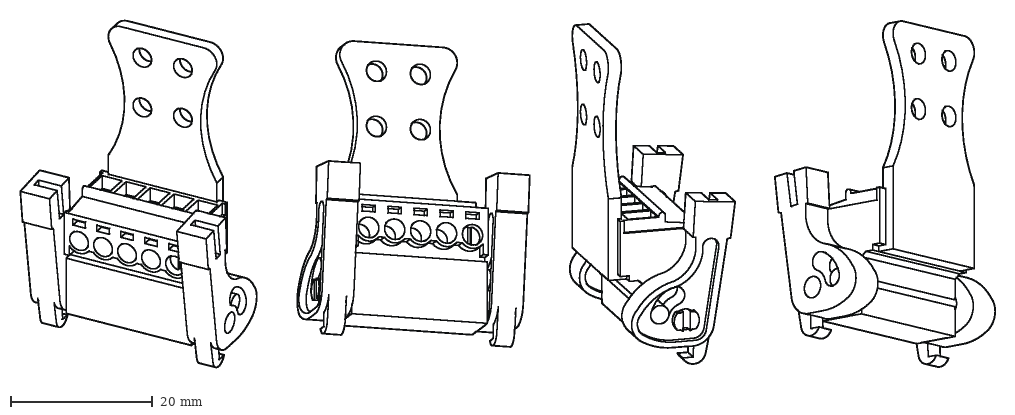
import cadquery as cq
import math


TOTAL_WIDTH = 29.6
TOTAL_DEPTH = 16.8
TOTAL_HEIGHT = 44.95

LEVER_THICKNESS = 4.67
LEVER_LEFT_FACES = (-TOTAL_WIDTH / 2, TOTAL_WIDTH / 2 - LEVER_THICKNESS)
LEVER_POCKET_DEPTH = 1.1
LEVER_POCKET_BASE_Z = 3.78
LEVER_BASE_Z = 2.95
LEVER_STEP_Z = 18.35
LEVER_STEP_DROP = 0.1
LEVER_STEM_REAR_Y = -10.95
LEVER_STEM_TOP_Z = 18.9
HOOK_WIDTH = 2.6
HOOK_TIP_Y = -11.0
HOOK_TIP_RADIUS = 1.8
HOOK_FRONT_Z = 1.45
HOOK_CATCH_Z = 1.05
HOOK_ROOT_Z = 5.65
HEAD_SLOT_WALL = 1.05
HEAD_SLOT_TOP_Z = 24.72

PIVOT_Y = -9.7
PIVOT_Z = 6.65
PIN_SHAFT_RADIUS = 1.55
PIN_HEAD_RADIUS = 1.85
PIN_HEAD_HEIGHT = 2.5
PIN_HEAD_LENGTH = 0.9
PIN_SLOT_WIDTH = 1.05
PIN_SLOT_DEPTH = 1.8
GUIDE_RADIUS = 3.8
GUIDE_HALF_WIDTH = 1.35
GUIDE_START_ANGLE = 15.0
GUIDE_END_ANGLE = 69.0

HOUSING_WIDTH = 19.95
CORE_WIDTH = 19.05
HOUSING_TOP_Z = 20.68
SIDE_STEP_Z = 18.9
OVERHANG_Z = 11.78
HOUSING_BOTTOM_Z = 2.88
HOUSING_REAR_Y = -1.35
LOWER_REAR_Y = -4.75
REAR_CHAMFER_Y = -3.95
REAR_CHAMFER_Z = 11.1
LOWER_FRONT_Y = -12.1
PANEL_FRONT_Y = -12.65
PANEL_TOP_Z = 19.4
BEAD_REAR_Y = -7.2
BEAD_WIDTH = 0.95
BEAD_RADIUS = BEAD_WIDTH / 2
BEAD_TOP_Z = 21.35
SLOPE_TOP_Z = 19.9

RECESS_REAR_Y = -10.9
RECESS_TOP_Z = 14.15
RECESS_WIDTH = 18.45
TAB_BOTTOM_Z = 12.68

TERMINAL_COUNT = 5
TERMINAL_PITCH = 3.8
TERMINAL_XS = [(i - (TERMINAL_COUNT - 1) / 2) * TERMINAL_PITCH for i in range(TERMINAL_COUNT)]
SCREW_HOLE_Z = 15.4
SCREW_RADIUS = 1.5
SCREW_HOLE_DEPTH = 4.5
SCREW_TUBE_RADIUS = 2.0
SCREW_SINK = 1.45
SCREW_SLOT_WIDTH = 0.55
SCREW_SLOT_DEPTH = 0.55
TEST_PORT_WIDTH = 1.95
TEST_PORT_HEIGHT = 0.95
TEST_PORT_DEPTH = 1.35
TEST_PORT_Z = 18.2
WIRE_POCKET_WIDTH = 3.15
WIRE_POCKET_DEPTH = 2.05
WIRE_POCKET_REAR_Y = -2.7
WIRE_POCKET_FRONT_Y = -7.05

PLATE_WIDTH = 17.3
PLATE_THICKNESS = 1.95
PLATE_FOOT_TOP_Z = 12.6
PLATE_FOOT_DEPTH = 2.7
PLATE_SHOULDER_Z = 23.75
PLATE_WAIST_WIDTH = 12.15
PLATE_WAIST_Z = 32.95
PLATE_CORNER_RADIUS = 2.1
PLATE_CORNER_END_ANGLE = 30.0
PLATE_HOLE_DIAMETER = 2.9
PLATE_HOLE_X = 3.25
PLATE_HOLE_ZS = (32.8, 40.8)


def box(x_range, y_range, z_range):
    """Axis-aligned box between the two limits given for each axis."""
    lengths = [max(r) - min(r) for r in (x_range, y_range, z_range)]
    return cq.Workplane("XY").box(*lengths, centered=False).translate(
        (min(x_range), min(y_range), min(z_range))
    )


def centred_box(width, y_range, z_range, x=0.0):
    return box((x - width / 2, x + width / 2), y_range, z_range)


def x_cylinder(radius, x_start, x_end, y, z):
    """Cylinder along X between two X values."""
    return cq.Workplane("YZ", origin=(x_start, 0, 0)).center(y, z).circle(radius).extrude(x_end - x_start)


def front_cylinder(radius, x, z, y_front, y_rear):
    """Cylinder along Y between a front and a rear Y value."""
    return cq.Workplane("XZ", origin=(0, y_rear, 0)).center(x, z).circle(radius).extrude(y_rear - y_front)


def guide_point(radius, angle):
    """Point (Y, Z) at a radius and angle around the pivot."""
    turn = math.radians(angle)
    return (PIVOT_Y + radius * math.cos(turn), PIVOT_Z + radius * math.sin(turn))




def lever_plate():
    """Lever outline: slanted head, narrower stem and rounded foot."""
    return (
        cq.Workplane("YZ")
        .moveTo(-10.92, 24.15)
        .lineTo(-TOTAL_DEPTH, 23.6)
        .lineTo(-16.15, LEVER_STEP_Z)
        .lineTo(-15.65, LEVER_STEP_Z - LEVER_STEP_DROP)
        .lineTo(-13.7, 5.95)
        .threePointArc((-12.75, 3.9), (-10.75, LEVER_BASE_Z))
        .lineTo(-7.85, LEVER_BASE_Z)
        .threePointArc((-5.4, 3.25), (-2.9, 4.25))
        .threePointArc((-1.55, 6.75), (-2.25, 8.8))
        .threePointArc((-4.65, 11.33), (-7.8, 12.7))
        .threePointArc((-10.0, 14.4), (LEVER_STEM_REAR_Y, 16.85))
        .lineTo(LEVER_STEM_REAR_Y, LEVER_STEM_TOP_Z)
        .lineTo(-10.6, LEVER_STEM_TOP_Z)
        .close()
        .extrude(LEVER_THICKNESS)
    )


def hook_tip_reach(z):
    """Half width of the round hook tip at height Z."""
    return math.sqrt(HOOK_TIP_RADIUS**2 - (HOOK_TIP_RADIUS - z) ** 2)


def lever_hook():
    """Hook under the lever, centred in its thickness, with a round tip and a flat catch."""
    return (
        cq.Workplane("YZ", origin=((LEVER_THICKNESS - HOOK_WIDTH) / 2, 0, 0))
        .moveTo(-13.6, HOOK_ROOT_Z)
        .lineTo(HOOK_TIP_Y - hook_tip_reach(HOOK_FRONT_Z), HOOK_FRONT_Z)
        .threePointArc((HOOK_TIP_Y, 0), (HOOK_TIP_Y + hook_tip_reach(HOOK_CATCH_Z), HOOK_CATCH_Z))
        .lineTo(-10.92, HOOK_CATCH_Z)
        .lineTo(-11.1, HOOK_ROOT_Z)
        .close()
        .extrude(HOOK_WIDTH)
    )


def lever_pocket():
    """Recess in the left face that leaves a rim along the stem and the foot."""
    return (
        cq.Workplane("YZ")
        .moveTo(-12.0, 17.3)
        .threePointArc((-13.2, 18.5), (-14.4, 17.15))
        .lineTo(-12.55, 5.2)
        .threePointArc((-12.05, 4.23), (-11.0, LEVER_POCKET_BASE_Z))
        .lineTo(-7.9, LEVER_POCKET_BASE_Z)
        .threePointArc((-5.6, 4.1), (-3.3, 5.15))
        .threePointArc((-2.4, 6.7), (-2.9, 8.23))
        .threePointArc((-5.1, 10.5), (-8.2, 11.85))
        .threePointArc((-10.85, 13.75), (-12.0, 16.4))
        .close()
        .extrude(LEVER_POCKET_DEPTH)
    )


def guide_slot():
    """Curved slot around the pivot, through the lever."""
    inner = GUIDE_RADIUS - GUIDE_HALF_WIDTH
    outer = GUIDE_RADIUS + GUIDE_HALF_WIDTH
    middle_angle = (GUIDE_START_ANGLE + GUIDE_END_ANGLE) / 2
    band = (
        cq.Workplane("YZ")
        .moveTo(*guide_point(inner, GUIDE_START_ANGLE))
        .lineTo(*guide_point(outer, GUIDE_START_ANGLE))
        .threePointArc(guide_point(outer, middle_angle), guide_point(outer, GUIDE_END_ANGLE))
        .lineTo(*guide_point(inner, GUIDE_END_ANGLE))
        .threePointArc(guide_point(inner, middle_angle), guide_point(inner, GUIDE_START_ANGLE))
        .close()
        .extrude(LEVER_THICKNESS)
    )
    for angle in (GUIDE_START_ANGLE, GUIDE_END_ANGLE):
        y, z = guide_point(GUIDE_RADIUS, angle)
        band = band.union(x_cylinder(GUIDE_HALF_WIDTH, 0, LEVER_THICKNESS, y, z))
    return band


def head_slot():
    """Slanted slot in the top of the lever, open to the right."""
    return (
        cq.Workplane("YZ", origin=(HEAD_SLOT_WALL, 0, 0))
        .moveTo(-13.35, HEAD_SLOT_TOP_Z)
        .lineTo(-14.65, HEAD_SLOT_TOP_Z)
        .lineTo(-13.75, 18.9)
        .lineTo(-12.55, 19.0)
        .close()
        .extrude(LEVER_THICKNESS)
    )


def make_lever(left_face_x):
    pivot_hole = x_cylinder(PIN_SHAFT_RADIUS, 0, LEVER_THICKNESS, PIVOT_Y, PIVOT_Z)
    lever = lever_plate().union(lever_hook())
    lever = lever.cut(lever_pocket()).cut(guide_slot()).cut(pivot_hole).cut(head_slot())
    return lever.translate((left_face_x, 0, 0))




def make_pivot_pin():
    """Pin through the housing and both levers, with a flattened, slotted head in the left lever."""
    floor_x = -TOTAL_WIDTH / 2 + LEVER_POCKET_DEPTH
    end_x = floor_x - PIN_HEAD_LENGTH
    head = x_cylinder(PIN_HEAD_RADIUS, end_x, floor_x, PIVOT_Y, PIVOT_Z).intersect(
        box(
            (end_x, floor_x),
            (PIVOT_Y - PIN_HEAD_RADIUS, PIVOT_Y + PIN_HEAD_RADIUS),
            (PIVOT_Z - PIN_HEAD_HEIGHT / 2, PIVOT_Z + PIN_HEAD_HEIGHT / 2),
        )
    )
    slot_end_x = end_x + PIN_SLOT_DEPTH - PIN_SLOT_WIDTH / 2
    slot_base_z = PIVOT_Z - PIN_HEAD_RADIUS
    slot = box(
        (end_x, slot_end_x),
        (PIVOT_Y - PIN_SLOT_WIDTH / 2, PIVOT_Y + PIN_SLOT_WIDTH / 2),
        (slot_base_z, slot_base_z + 2 * PIN_HEAD_RADIUS),
    )
    slot_floor = (
        cq.Workplane("XY", origin=(slot_end_x, PIVOT_Y, slot_base_z))
        .circle(PIN_SLOT_WIDTH / 2)
        .extrude(2 * PIN_HEAD_RADIUS)
    )
    shaft = x_cylinder(PIN_SHAFT_RADIUS, end_x, TOTAL_WIDTH / 2, PIVOT_Y, PIVOT_Z)
    return shaft.union(head).cut(slot).cut(slot_floor)




def make_strain_relief_plate():
    """Waisted plate with four holes and a foot that hooks under the housing."""
    half_width = PLATE_WIDTH / 2
    half_waist = PLATE_WAIST_WIDTH / 2
    corner_x = half_width - PLATE_CORNER_RADIUS
    corner_z = TOTAL_HEIGHT - PLATE_CORNER_RADIUS

    def corner_point(angle):
        turn = math.radians(angle)
        return (
            corner_x + PLATE_CORNER_RADIUS * math.cos(turn),
            corner_z + PLATE_CORNER_RADIUS * math.sin(turn),
        )

    corner_end = corner_point(-PLATE_CORNER_END_ANGLE)
    corner_middle = corner_point((90 - PLATE_CORNER_END_ANGLE) / 2)
    plate = (
        cq.Workplane("XZ")
        .moveTo(-half_width, OVERHANG_Z)
        .lineTo(half_width, OVERHANG_Z)
        .lineTo(half_width, PLATE_SHOULDER_Z)
        .threePointArc((half_waist, PLATE_WAIST_Z), corner_end)
        .threePointArc(corner_middle, (corner_x, TOTAL_HEIGHT))
        .lineTo(-corner_x, TOTAL_HEIGHT)
        .threePointArc((-corner_middle[0], corner_middle[1]), (-corner_end[0], corner_end[1]))
        .threePointArc((-half_waist, PLATE_WAIST_Z), (-half_width, PLATE_SHOULDER_Z))
        .close()
        .extrude(PLATE_THICKNESS)
    )
    for x in (-PLATE_HOLE_X, PLATE_HOLE_X):
        for z in PLATE_HOLE_ZS:
            plate = plate.cut(front_cylinder(PLATE_HOLE_DIAMETER / 2, x, z, -PLATE_THICKNESS, 0))
    foot = centred_box(PLATE_WIDTH, (-PLATE_FOOT_DEPTH, 0), (OVERHANG_Z, PLATE_FOOT_TOP_Z))
    return plate.union(foot)




def housing_block():
    """Side profile with the top bead and the sloping front roof, over the full width."""
    bead_front_y = BEAD_REAR_Y - BEAD_WIDTH
    bead_side_z = BEAD_TOP_Z - BEAD_RADIUS
    return (
        cq.Workplane("YZ", origin=(-HOUSING_WIDTH / 2, 0, 0))
        .moveTo(HOUSING_REAR_Y, PLATE_FOOT_TOP_Z)
        .lineTo(HOUSING_REAR_Y, HOUSING_TOP_Z)
        .lineTo(BEAD_REAR_Y, HOUSING_TOP_Z)
        .lineTo(BEAD_REAR_Y, bead_side_z)
        .threePointArc((BEAD_REAR_Y - BEAD_RADIUS, BEAD_TOP_Z), (bead_front_y, bead_side_z))
        .lineTo(bead_front_y, SLOPE_TOP_Z)
        .lineTo(LOWER_FRONT_Y, PANEL_TOP_Z)
        .lineTo(PANEL_FRONT_Y, PANEL_TOP_Z)
        .lineTo(PANEL_FRONT_Y, TAB_BOTTOM_Z)
        .lineTo(RECESS_REAR_Y, TAB_BOTTOM_Z)
        .lineTo(RECESS_REAR_Y, OVERHANG_Z)
        .lineTo(LOWER_FRONT_Y, OVERHANG_Z)
        .lineTo(LOWER_FRONT_Y, HOUSING_BOTTOM_Z)
        .lineTo(LOWER_REAR_Y, HOUSING_BOTTOM_Z)
        .lineTo(LOWER_REAR_Y, REAR_CHAMFER_Z)
        .lineTo(REAR_CHAMFER_Y, OVERHANG_Z)
        .lineTo(-PLATE_FOOT_DEPTH, OVERHANG_Z)
        .lineTo(-PLATE_FOOT_DEPTH, PLATE_FOOT_TOP_Z)
        .close()
        .extrude(HOUSING_WIDTH)
    )


def side_ledges():
    """Material removed above the ledges on both sides of the core."""
    y_range = (LOWER_FRONT_Y, -PLATE_THICKNESS)
    z_range = (SIDE_STEP_Z, BEAD_TOP_Z)
    full = centred_box(HOUSING_WIDTH, y_range, z_range)
    return full.cut(centred_box(CORE_WIDTH, y_range, z_range))


def front_recess():
    """Recess under the panel; the screw tubes stay and give its upper edge a wavy outline."""
    recess = centred_box(RECESS_WIDTH, (PANEL_FRONT_Y, RECESS_REAR_Y), (TAB_BOTTOM_Z, RECESS_TOP_Z))
    for x in TERMINAL_XS:
        recess = recess.cut(front_cylinder(SCREW_TUBE_RADIUS, x, SCREW_HOLE_Z, PANEL_FRONT_Y, RECESS_REAR_Y))
    return recess


def terminal_openings(x):
    """Screw hole, test port and wire pocket of one terminal."""
    hole_end_y = PANEL_FRONT_Y + SCREW_HOLE_DEPTH
    screw_hole = front_cylinder(SCREW_RADIUS, x, SCREW_HOLE_Z, PANEL_FRONT_Y, hole_end_y)
    test_port = centred_box(
        TEST_PORT_WIDTH,
        (PANEL_FRONT_Y, PANEL_FRONT_Y + TEST_PORT_DEPTH),
        (TEST_PORT_Z - TEST_PORT_HEIGHT / 2, TEST_PORT_Z + TEST_PORT_HEIGHT / 2),
        x,
    )
    wire_pocket = centred_box(
        WIRE_POCKET_WIDTH,
        (WIRE_POCKET_FRONT_Y, WIRE_POCKET_REAR_Y),
        (HOUSING_TOP_Z - WIRE_POCKET_DEPTH, HOUSING_TOP_Z),
        x,
    )
    return screw_hole, test_port, wire_pocket


def make_housing():
    half_width = HOUSING_WIDTH / 2
    housing = housing_block().cut(side_ledges()).cut(front_recess())
    for x in TERMINAL_XS:
        for opening in terminal_openings(x):
            housing = housing.cut(opening)
    plate_recess = centred_box(
        PLATE_WIDTH,
        (-PLATE_THICKNESS, HOUSING_REAR_Y),
        (PLATE_FOOT_TOP_Z, HOUSING_TOP_Z),
    )
    pin_hole = x_cylinder(PIN_SHAFT_RADIUS, -half_width, half_width, PIVOT_Y, PIVOT_Z)
    peg_end_x = TOTAL_WIDTH / 2 - LEVER_POCKET_DEPTH
    peg_y, peg_z = guide_point(GUIDE_RADIUS, GUIDE_START_ANGLE)
    guide_pegs = x_cylinder(GUIDE_HALF_WIDTH, -peg_end_x, peg_end_x, peg_y, peg_z)
    return housing.cut(plate_recess).union(guide_pegs).cut(pin_hole)




def make_clamp_screw():
    """Slotted screw sunk in the last screw hole."""
    x = TERMINAL_XS[-1]
    head_y = PANEL_FRONT_Y + SCREW_SINK
    screw = front_cylinder(SCREW_RADIUS, x, SCREW_HOLE_Z, head_y, PANEL_FRONT_Y + SCREW_HOLE_DEPTH)
    slot = centred_box(
        SCREW_SLOT_WIDTH,
        (head_y, head_y + SCREW_SLOT_DEPTH),
        (SCREW_HOLE_Z - SCREW_RADIUS, SCREW_HOLE_Z + SCREW_RADIUS),
        x,
    )
    return screw.cut(slot)


housing = make_housing()
strain_relief_plate = make_strain_relief_plate()
levers = [make_lever(x) for x in LEVER_LEFT_FACES]
pivot_pin = make_pivot_pin()
clamp_screw = make_clamp_screw()

result = cq.Compound.makeCompound(
    [
        housing.solids().val(),
        strain_relief_plate.solids().val(),
        *[lever.solids().val() for lever in levers],
        pivot_pin.solids().val(),
        clamp_screw.solids().val(),
    ]
)